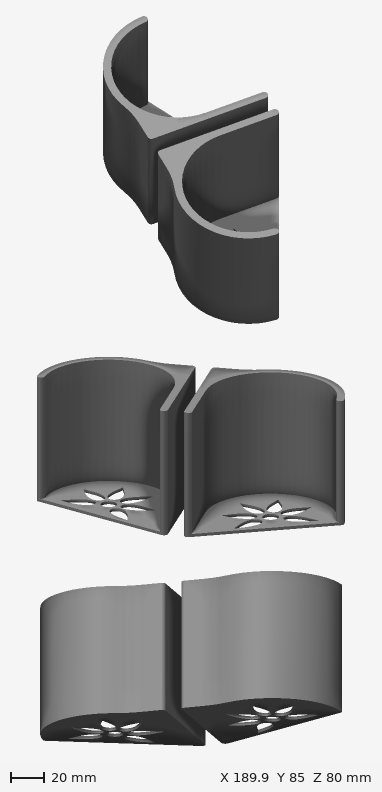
import cadquery as cq
import math

height = 80.0
inner_radius = 40.0
wall = 5.0
floor_thickness = 1.9
gap = 10.0
blend_radius = 49.4
hole_diameter = 10.0
petal_count = 6
petal_pitch = 47.0
petal_start = 8.0
petal_end = 30.0
petal_widest = 14.2
petal_width = 9.3
petal_tip_half_angle = 20.0

outer_radius = inner_radius + wall
middle_radius = inner_radius + wall / 2
end_radius = wall / 2
side_x = -outer_radius
back_y = inner_radius
front_y = -inner_radius

back_end = (side_x + end_radius, back_y - end_radius)
free_end = (math.sqrt(middle_radius**2 - end_radius**2), -end_radius)
free_angle = math.atan2(free_end[1], free_end[0])

blend_y = front_y - blend_radius
blend_x = -math.sqrt((outer_radius + blend_radius) ** 2 - blend_y**2)
blend_angle = math.atan2(blend_y, blend_x)


def polar(radius, angle, centre=(0, 0)):
    """Point at a radius and an angle in radians from a centre."""
    return (centre[0] + radius * math.cos(angle), centre[1] + radius * math.sin(angle))


def outer_path(start):
    """Outside of the cup, from a start point on the back end to the free end's outer tangent point."""
    corner = (side_x + end_radius, front_y + end_radius)
    blend_centre = (blend_x, blend_y)
    blend_mid_angle = (math.pi / 2 + blend_angle + math.pi) / 2
    start_angle = math.atan2(start[1] - back_end[1], start[0] - back_end[0])
    return (
        cq.Workplane("XY")
        .moveTo(*start)
        .threePointArc(polar(end_radius, (start_angle + math.pi) / 2, back_end), (side_x, back_end[1]))
        .lineTo(side_x, corner[1])
        .threePointArc(polar(end_radius, math.radians(225), corner), (corner[0], front_y))
        .lineTo(blend_x, front_y)
        .threePointArc(polar(blend_radius, blend_mid_angle, blend_centre), polar(outer_radius, blend_angle))
        .threePointArc(
            polar(outer_radius, (blend_angle + free_angle) / 2),
            polar(outer_radius, free_angle),
        )
    )


def make_wall():
    """Full-height wall with rounded ends around an open U-shaped space."""
    return (
        outer_path((side_x + wall, back_end[1]))
        .threePointArc(
            polar(end_radius, free_angle + math.pi / 2, free_end),
            polar(inner_radius, free_angle),
        )
        .threePointArc((0, -inner_radius), (-inner_radius, 0))
        .close()
        .extrude(height)
    )


def make_floor():
    """Thin floor whose straight back edge is tangent to both rounded wall ends."""
    edge_angle = math.atan2(free_end[1] - back_end[1], free_end[0] - back_end[0])
    normal_angle = edge_angle + math.pi / 2
    return (
        outer_path(polar(end_radius, normal_angle, back_end))
        .threePointArc(
            polar(end_radius, (free_angle + normal_angle) / 2, free_end),
            polar(end_radius, normal_angle, free_end),
        )
        .close()
        .extrude(floor_thickness)
    )


def make_petal(angle):
    """Teardrop cutter pointing away from the flower centre at an angle in degrees."""
    slope = math.radians(petal_tip_half_angle)
    left_edge = (petal_widest, petal_width / 2)
    right_edge = (petal_widest, -petal_width / 2)
    tip = (petal_end, 0)
    leaving_tip = (-math.cos(slope), math.sin(slope))
    reaching_tip = (math.cos(slope), math.sin(slope))
    nose_length = petal_widest - petal_start
    outline = (
        cq.Workplane("XY")
        .moveTo(*tip)
        .spline([left_edge], tangents=[leaving_tip, (-1, 0)], includeCurrent=True)
        .parametricCurve(
            lambda t: (
                petal_widest - nose_length * math.sin(math.pi * t),
                petal_width / 2 * math.cos(math.pi * t),
            ),
            makeWire=False,
        )
        .moveTo(*right_edge)
        .spline([tip], tangents=[(1, 0), reaching_tip], includeCurrent=True)
        .wire()
    )
    return outline.extrude(floor_thickness).rotate((0, 0, 0), (0, 0, 1), angle)


def make_cup():
    """Cup with a flower of drain openings in its floor, axis at the origin."""
    cup = make_wall().union(make_floor())
    cup = cup.cut(cq.Workplane("XY").circle(hole_diameter / 2).extrude(floor_thickness))
    for index in range(petal_count):
        cup = cup.cut(make_petal(-index * petal_pitch))
    return cup


right_cup = make_cup().translate((gap / 2 + outer_radius, 0, 0))
left_cup = right_cup.mirror("YZ")

result = cq.Compound.makeCompound([left_cup.val(), right_cup.val()])